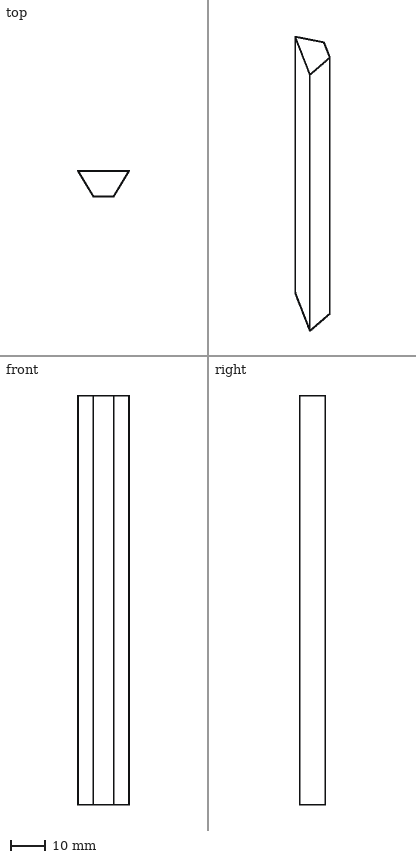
import cadquery as cq

wide_face = 15.0
narrow_face = 6.0
depth = 7.5
length = 120.0

section = [
    (-narrow_face / 2, -depth / 2),
    (narrow_face / 2, -depth / 2),
    (wide_face / 2, depth / 2),
    (-wide_face / 2, depth / 2),
]

result = cq.Workplane("XY").polyline(section).close().extrude(length)